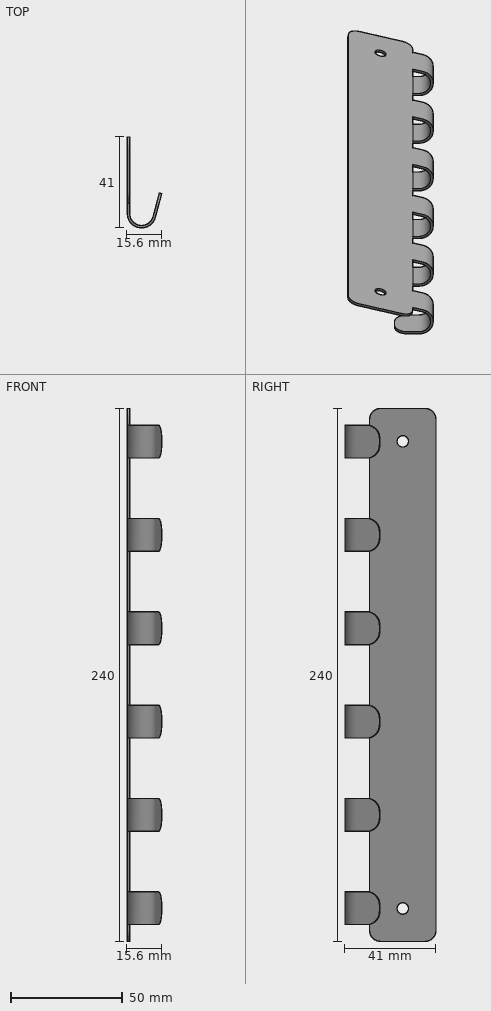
import cadquery as cq
import math

height = 240.0
plate_width = 30.0
thickness = 1.2
corner_radius = 5.0
hole_diameter = 5.0
hole_end_distance = 15.0

depth = 41.0
hook_count = 6
hook_pitch = 42.0
hook_height = 15.0
bend_radius = 6.5
lip_length = 11.0
lip_angle = math.radians(15)
lip_corner_radius = 6.0

bend_y = plate_width - depth + bend_radius


def radial_point(radius, angle):
    """Point around the bend axis, with the angle measured from +X."""
    return (bend_radius + radius * math.cos(angle), bend_y + radius * math.sin(angle))


def lip_end(start):
    """Point one lip length beyond the end of the bend."""
    return (start[0] + lip_length * math.sin(lip_angle), start[1] + lip_length * math.cos(lip_angle))


def make_plate():
    plate = cq.Workplane("XY").box(thickness, plate_width, height, centered=(False, False, True))
    plate = plate.edges("|X").fillet(corner_radius)
    hole_z = height / 2 - hole_end_distance
    holes = (
        cq.Workplane("YZ")
        .pushPoints([(plate_width / 2, -hole_z), (plate_width / 2, hole_z)])
        .circle(hole_diameter / 2)
        .extrude(thickness)
    )
    return plate.cut(holes)


def make_hook():
    inner_radius = bend_radius - thickness
    bend_middle = -(math.pi / 2 + lip_angle / 2)
    outer_bend_end = radial_point(bend_radius, -lip_angle)
    inner_bend_end = radial_point(inner_radius, -lip_angle)
    hook = (
        cq.Workplane("XY")
        .moveTo(0, 0)
        .lineTo(0, bend_y)
        .threePointArc(radial_point(bend_radius, bend_middle), outer_bend_end)
        .lineTo(*lip_end(outer_bend_end))
        .lineTo(*lip_end(inner_bend_end))
        .lineTo(*inner_bend_end)
        .threePointArc(radial_point(inner_radius, bend_middle), (thickness, bend_y))
        .lineTo(thickness, 0)
        .close()
        .extrude(hook_height / 2, both=True)
    )
    across_lip = cq.Vector(math.cos(lip_angle), -math.sin(lip_angle), 0)
    lip_corners = hook.edges(cq.selectors.ParallelDirSelector(across_lip))
    return lip_corners.fillet(lip_corner_radius)


result = make_plate()
hook = make_hook()
for index in range(hook_count):
    hook_z = (index - (hook_count - 1) / 2) * hook_pitch
    result = result.union(hook.translate((0, 0, hook_z)))